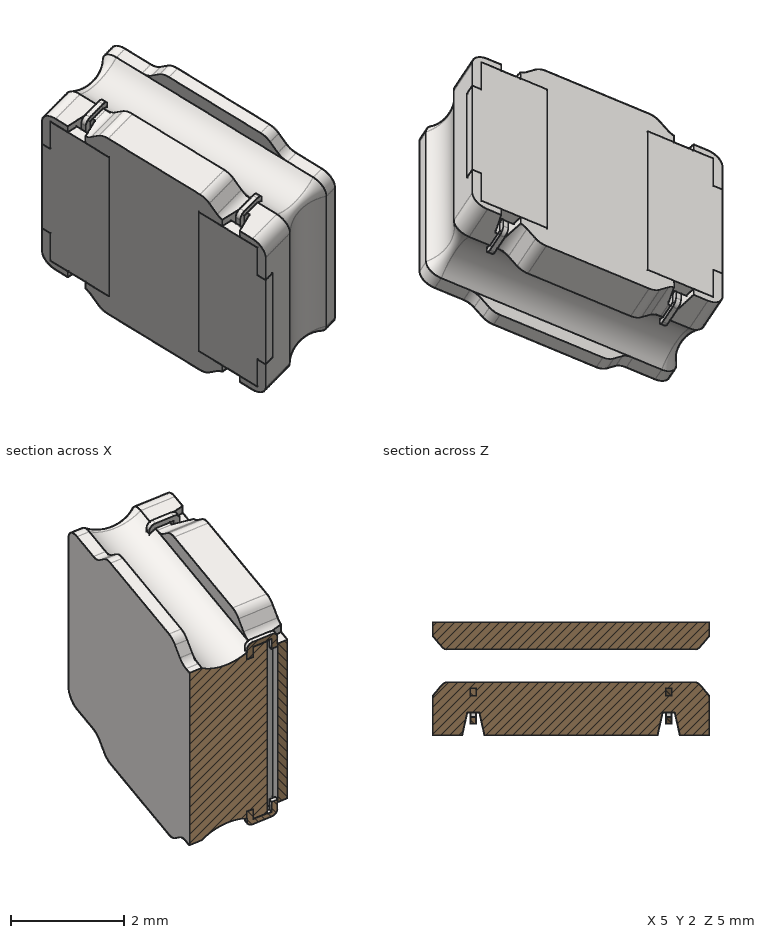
import cadquery as cq
import math


WIDTH = 5.0
HEIGHT = 5.0
DEPTH = 2.0
MOUNT_Y = -DEPTH / 2

SHOULDER_Z = 2.15
RAMP_FOOT_X = 1.5
RAMP_TOP_X = RAMP_FOOT_X - (HEIGHT / 2 - SHOULDER_Z)
OUTLINE_RADIUS = 0.3
MOUNT_FLANGE = 0.7
BACK_FLANGE = 0.25

WAIST_Y = MOUNT_Y + MOUNT_FLANGE
WAIST_LENGTH = DEPTH - MOUNT_FLANGE - BACK_FLANGE
WAIST_HOLLOW = 0.175

TERMINAL_THICKNESS = 0.2
TERMINAL_INNER_X = 1.0
TERMINAL_SHOULDER_X = 2.315
TERMINAL_HALF_HEIGHT = 1.98
TERMINAL_TAB_HALF_HEIGHT = 1.2

GROOVE_X = 1.725
GROOVE_DEPTH = 0.4
GROOVE_MOUTH_WIDTH = 0.39
GROOVE_FLOOR_WIDTH = 0.21

WIRE_WIDTH = 0.1
WIRE_THICKNESS = 0.125
WIRE_LEG = 0.25
WIRE_FRONT_Y = MOUNT_Y + TERMINAL_THICKNESS
WIRE_BACK_Y = WAIST_Y + WIRE_THICKNESS
WIRE_TOP_Z = SHOULDER_Z + WIRE_THICKNESS
WIRE_END_Z = SHOULDER_Z - WIRE_LEG

SIDES = (-1, 1)


def plane_at(y):
    """XZ plane at the given Y; extrusions from it run toward +Y."""
    return cq.Workplane(cq.Plane(origin=(0, y, 0), xDir=(1, 0, 0), normal=(0, -1, 0)))


def make_flange(y, thickness):
    upper = [
        (WIDTH / 2, SHOULDER_Z),
        (RAMP_FOOT_X, SHOULDER_Z),
        (RAMP_TOP_X, HEIGHT / 2),
        (-RAMP_TOP_X, HEIGHT / 2),
        (-RAMP_FOOT_X, SHOULDER_Z),
        (-WIDTH / 2, SHOULDER_Z),
    ]
    lower = [(-x, -z) for x, z in upper]
    flange = plane_at(y).polyline(upper + lower).close().extrude(-thickness)
    return flange.edges("|Y").fillet(OUTLINE_RADIUS)


def make_waist():
    block = plane_at(WAIST_Y).rect(WIDTH, 2 * SHOULDER_Z).extrude(-WAIST_LENGTH)
    block = block.edges("|Y").fillet(OUTLINE_RADIUS)

    half_width = WIDTH / 2
    straight_x = half_width - OUTLINE_RADIUS
    straight_z = SHOULDER_Z - OUTLINE_RADIUS
    path = (
        plane_at(WAIST_Y)
        .moveTo(0, SHOULDER_Z)
        .lineTo(straight_x, SHOULDER_Z)
        .radiusArc((half_width, straight_z), OUTLINE_RADIUS)
        .lineTo(half_width, -straight_z)
        .radiusArc((straight_x, -SHOULDER_Z), OUTLINE_RADIUS)
        .lineTo(-straight_x, -SHOULDER_Z)
        .radiusArc((-half_width, -straight_z), OUTLINE_RADIUS)
        .lineTo(-half_width, straight_z)
        .radiusArc((-straight_x, SHOULDER_Z), OUTLINE_RADIUS)
        .close()
    )
    hollow = (
        cq.Workplane("YZ")
        .moveTo(WAIST_Y, SHOULDER_Z)
        .sagittaArc((WAIST_Y + WAIST_LENGTH, SHOULDER_Z), -WAIST_HOLLOW)
        .close()
        .sweep(path)
    )
    return block.cut(hollow)


def make_groove(side):
    half_mouth = GROOVE_MOUTH_WIDTH / 2
    half_floor = GROOVE_FLOOR_WIDTH / 2
    floor_y = MOUNT_Y + GROOVE_DEPTH
    center = side * GROOVE_X
    section = [
        (center - half_mouth, MOUNT_Y),
        (center + half_mouth, MOUNT_Y),
        (center + half_floor, floor_y),
        (center - half_floor, floor_y),
    ]
    return cq.Workplane("XY").polyline(section).close().extrude(HEIGHT / 2, both=True)


def make_terminal(side):
    """Plate with a wider tab that reaches the outer side of the flange."""
    plate_width = TERMINAL_SHOULDER_X - TERMINAL_INNER_X
    tab_width = WIDTH / 2 - TERMINAL_INNER_X
    plate = (
        plane_at(MOUNT_Y)
        .center(side * (TERMINAL_INNER_X + plate_width / 2), 0)
        .rect(plate_width, 2 * TERMINAL_HALF_HEIGHT)
        .extrude(-TERMINAL_THICKNESS)
    )
    tab = (
        plane_at(MOUNT_Y)
        .center(side * (TERMINAL_INNER_X + tab_width / 2), 0)
        .rect(tab_width, 2 * TERMINAL_TAB_HALF_HEIGHT)
        .extrude(-TERMINAL_THICKNESS)
    )
    return plate.union(tab)


def make_wire_end(side, end):
    """Hook with one leg in the groove and the other in the waist; end is the Z direction it faces."""
    rounding = WIRE_THICKNESS * (1 - math.sqrt(0.5))
    hook = (
        cq.Workplane("YZ", origin=(side * GROOVE_X, 0, 0))
        .moveTo(WIRE_FRONT_Y, end * WIRE_END_Z)
        .lineTo(WIRE_FRONT_Y, end * SHOULDER_Z)
        .threePointArc(
            (WIRE_FRONT_Y + rounding, end * (WIRE_TOP_Z - rounding)),
            (WIRE_FRONT_Y + WIRE_THICKNESS, end * WIRE_TOP_Z),
        )
        .lineTo(WAIST_Y, end * WIRE_TOP_Z)
        .threePointArc(
            (WIRE_BACK_Y - rounding, end * (WIRE_TOP_Z - rounding)),
            (WIRE_BACK_Y, end * SHOULDER_Z),
        )
        .lineTo(WIRE_BACK_Y, end * WIRE_END_Z)
        .lineTo(WAIST_Y, end * WIRE_END_Z)
        .lineTo(WAIST_Y, end * SHOULDER_Z)
        .lineTo(WIRE_FRONT_Y + WIRE_THICKNESS, end * SHOULDER_Z)
        .lineTo(WIRE_FRONT_Y + WIRE_THICKNESS, end * WIRE_END_Z)
        .close()
        .extrude(WIRE_WIDTH / 2, both=True)
    )
    return hook


def make_core(terminals, wire_ends):
    """Drum core with the grooves, terminal recesses and wire sockets cut out."""
    core = make_flange(MOUNT_Y, MOUNT_FLANGE)
    core = core.union(make_waist())
    core = core.union(make_flange(WAIST_Y + WAIST_LENGTH, BACK_FLANGE))
    for side in SIDES:
        core = core.cut(make_groove(side))
    for inset in terminals + wire_ends:
        core = core.cut(inset)
    return core


terminals = [make_terminal(side) for side in SIDES]
wire_ends = [make_wire_end(side, end) for side in SIDES for end in SIDES]
core = make_core(terminals, wire_ends)

result = cq.Compound.makeCompound(
    [
        core.val(),
        *[terminal.val() for terminal in terminals],
        *[wire_end.val() for wire_end in wire_ends],
    ]
)